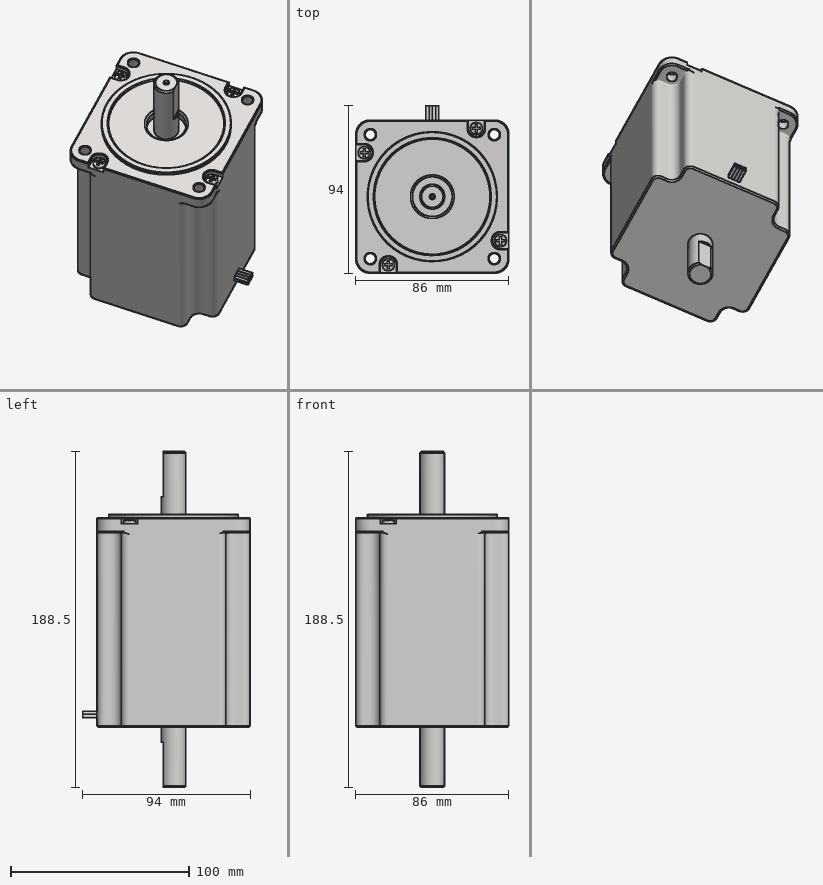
import cadquery as cq

width = 86.0
half = width / 2
corner_radius = 8.1
body_bottom = -117.6
bottom_chamfer = 1.0
flange_thickness = 8.5
rim_chamfer = 0.5
underside_chamfer = 0.85

relief = 13.5
relief_inner_radius = 5.5
relief_outer_radius = 4.1
relief_top_fillet = 0.8

overrun = 3.8

mount_spacing = 69.5
mount_diameter = 5.8
mount_chamfer = 0.47

pilot_diameter = 73.0
pilot_height = 1.9
pilot_chamfer = 0.4
dish_diameter = 66.2
dish_depth = 0.8
bore_diameter = 22.2
bore_depth = 5.0
bore_chamfer = 1.1

shaft_diameter = 14.0
shaft_length = 188.5
shaft_top = 37.1
shaft_bottom = shaft_top - shaft_length
shaft_chamfer = 1.0
flat_distance = 5.8
flat_length = 25.3
center_hole_diameter = 1.5
center_hole_depth = 2.8
countersink_diameter = 3.2

screw_along = 24.7
screw_out = 38.3
slot_width = 9.0
slot_depth = 3.4
head_diameter = 6.8
head_height = 1.9
head_fillet = 0.8
cross_length = 4.5
cross_width = 1.1
cross_depth = 1.0

wire_diameter = 1.9
wire_pitch = 1.83
wire_columns = 4
wire_rows = 2
wire_end = 51.0
wire_embedment = 1.9
wire_root = half - wire_embedment
wire_height = -110.5


def cylinder(diameter, bottom, top):
    """Cylinder on the shaft axis."""
    return cq.Workplane("XY").workplane(offset=bottom).circle(diameter / 2).extrude(top - bottom)


def flared_mouth(diameter, depth, top):
    """Cutter on the shaft axis with 45 degree sides, widest at the top."""
    radius = diameter / 2
    cone = cq.Solid.makeCone(radius - depth, radius, depth, pnt=cq.Vector(0, 0, top - depth))
    return cq.Workplane(cone)


def around_axis(shape):
    """The four copies of a shape at quarter turns about the shaft axis."""
    return [shape.rotate((0, 0, 0), (0, 0, 1), 90 * turn) for turn in range(4)]


def rounded_block(bottom):
    """Square block with the housing's corner radius, from the given height up to the flange's top face."""
    block = cq.Workplane("XY").workplane(offset=bottom).rect(width, width).extrude(-bottom)
    return block.edges("|Z").fillet(corner_radius)


def relief_prism(inset, bottom, top):
    """Notch shape at the (-X, -Y) corner, shrunk by the inset from the body's walls.

    It is rounded inside and where it meets the two faces, and runs past the block on the outside.
    """
    face = -half - inset
    wall = -half + relief - inset
    outer = relief_outer_radius + inset
    inner = relief_inner_radius - inset
    face_end = wall + outer
    bend = wall - inner
    outside = -half - overrun
    profile = (
        cq.Workplane("XY")
        .workplane(offset=bottom)
        .moveTo(outside, outside)
        .lineTo(face_end + overrun, outside)
        .lineTo(face_end + overrun, face)
        .lineTo(face_end, face)
        .radiusArc((wall, face + outer), outer)
        .lineTo(wall, bend)
        .radiusArc((bend, wall), -inner)
        .lineTo(face + outer, wall)
        .radiusArc((face, face_end), outer)
        .lineTo(face, face_end + overrun)
        .lineTo(outside, face_end + overrun)
        .close()
    )
    return profile.extrude(top - bottom)


def corner_relief():
    """Cutter for one corner relief, filleted where it runs out under the flange."""
    cutter = relief_prism(0, body_bottom - overrun, -flange_thickness)
    inner_edges = cq.selectors.BoxSelector(
        (-half - overrun / 2, -half - overrun / 2, -flange_thickness - overrun),
        (0, 0, -flange_thickness + overrun),
    )
    return cutter.faces(">Z").edges(inner_edges).fillet(relief_top_fillet)


def underside_bevel():
    """Cutter that bevels the exposed lower edge of the flange at one corner."""
    prism = relief_prism(relief_top_fillet, -flange_thickness, -flange_thickness + underside_chamfer)
    bevelled_plate = rounded_block(-flange_thickness).faces("<Z").edges().chamfer(underside_chamfer)
    return prism.cut(bevelled_plate)


def screw_slot():
    """Cutter for one round-ended slot open to the +Y edge."""
    floor = cq.Workplane("XY").workplane(offset=-slot_depth)
    length = half + overrun - screw_out
    round_end = floor.center(screw_along, screw_out).circle(slot_width / 2).extrude(slot_depth)
    channel = floor.center(screw_along, screw_out + length / 2).rect(slot_width, length).extrude(slot_depth)
    return round_end.union(channel)


def screw_head():
    """Cross-recessed screw head standing on its slot floor."""
    floor = cq.Workplane("XY").workplane(offset=-slot_depth).center(screw_along, screw_out)
    head = floor.circle(head_diameter / 2).extrude(head_height).faces(">Z").edges().fillet(head_fillet)
    recess = floor.workplane(offset=head_height - cross_depth)
    head = head.cut(recess.rect(cross_length, cross_width).extrude(cross_depth))
    return head.cut(recess.rect(cross_width, cross_length).extrude(cross_depth))


def mounting_hole():
    """Cutter for one through hole, chamfered at the top of the flange."""
    hole = cylinder(mount_diameter, -flange_thickness - overrun, 0)
    return hole.union(flared_mouth(mount_diameter + 2 * mount_chamfer, mount_chamfer, 0))


def housing():
    """Flange and body in one block, with slots, screws and mounting holes."""
    block = rounded_block(body_bottom)
    for cutter in around_axis(corner_relief()) + around_axis(underside_bevel()):
        block = block.cut(cutter)
    for cutter in around_axis(screw_slot()):
        block = block.cut(cutter)
    block = block.faces(">Z").edges().chamfer(rim_chamfer)
    block = block.faces("<Z").edges().chamfer(bottom_chamfer)
    for head in around_axis(screw_head()):
        block = block.union(head)
    reach = mount_spacing / 2
    for hole in around_axis(mounting_hole().translate((reach, reach, 0))):
        block = block.cut(hole)
    return block


def pilot():
    """Pilot boss with a shallow, slope-sided dish in its top."""
    boss = cylinder(pilot_diameter, -rim_chamfer, pilot_height).faces(">Z").edges().chamfer(pilot_chamfer)
    return boss.cut(flared_mouth(dish_diameter, dish_depth, pilot_height))


def bearing_bore():
    """Cutter for the chamfered recess around the shaft."""
    dish_floor = pilot_height - dish_depth
    bore = cylinder(bore_diameter, dish_floor - bore_depth, dish_floor)
    return bore.union(flared_mouth(bore_diameter + 2 * bore_chamfer, bore_chamfer, dish_floor))


def shaft():
    """Through shaft with a flat at each end and a countersunk center hole in the top."""
    rod = cylinder(shaft_diameter, shaft_bottom, shaft_top).faces("<Z or >Z").edges().chamfer(shaft_chamfer)
    for end in (shaft_top - flat_length, shaft_bottom):
        slab = cq.Workplane("XY", origin=(0, flat_distance, end))
        rod = rod.cut(slab.box(shaft_diameter, shaft_diameter, flat_length, centered=(True, False, False)))
    center_hole = cylinder(center_hole_diameter, shaft_top - center_hole_depth, shaft_top)
    countersink_depth = (countersink_diameter - center_hole_diameter) / 2
    return rod.cut(center_hole).cut(flared_mouth(countersink_diameter, countersink_depth, shaft_top))


def wires():
    """Stub of the wire bundle, rooted inside the +Y face; neighboring wires overlap slightly."""
    bundle = cq.Workplane("XY")
    for column in range(wire_columns):
        for row in range(wire_rows):
            x = wire_pitch * (column - (wire_columns - 1) / 2)
            z = wire_height + wire_pitch * (row - (wire_rows - 1) / 2)
            wire = cq.Workplane("XZ", origin=(x, wire_root, z)).circle(wire_diameter / 2)
            bundle = bundle.union(wire.extrude(wire_root - wire_end))
    return bundle


result = housing().union(pilot()).cut(bearing_bore()).union(shaft()).union(wires())